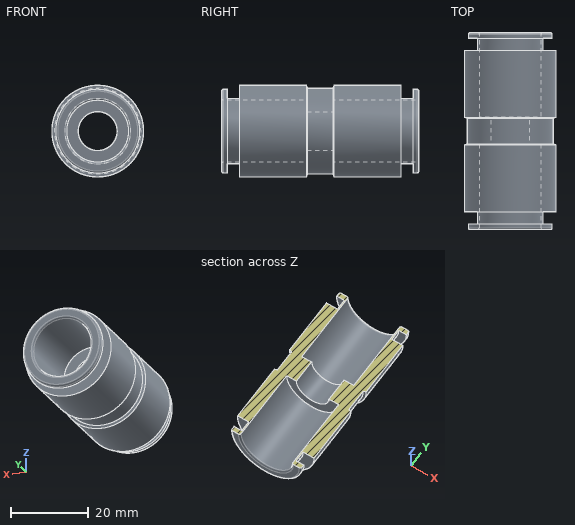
import cadquery as cq

overall_length = 51.0
flange_thickness = 1.5
neck_length = 3.1
waist_length = 6.6
taper_length = 0.28
web_thickness = 7.2

body_diameter = 23.8
waist_diameter = 22.3
flange_diameter = 21.7
neck_diameter = 17.0
socket_diameter = 16.0
passage_diameter = 10.0

rim_fillet = 0.5

half_length = overall_length / 2
flange_back = half_length - flange_thickness
body_end = flange_back - neck_length
waist_end = waist_length / 2
taper_end = waist_end + taper_length

socket_depth = half_length - web_thickness / 2


def make_outer_body():
    """Revolve the full outer profile about the Y axis."""
    half_outline = [
        (waist_diameter / 2, waist_end),
        (body_diameter / 2, taper_end),
        (body_diameter / 2, body_end),
        (neck_diameter / 2, body_end),
        (neck_diameter / 2, flange_back),
        (flange_diameter / 2, flange_back),
        (flange_diameter / 2, half_length),
        (0, half_length),
    ]
    mirrored_outline = [(radius, -y) for radius, y in reversed(half_outline)]
    profile = cq.Workplane("XY").polyline(mirrored_outline + half_outline).close()
    return profile.revolve(360, (0, 0, 0), (0, 1, 0))


def cut_bores(body):
    """Cut a tube socket into each end and the passage through the web."""
    for end_face in ("<Y", ">Y"):
        socket_plane = body.faces(end_face).workplane(centerOption="CenterOfMass")
        body = socket_plane.hole(socket_diameter, socket_depth)
    passage = cq.Workplane("XZ").circle(passage_diameter / 2).extrude(half_length, both=True)
    return body.cut(passage)


def round_rims(body):
    """Round both circular edges of each flange end face."""
    for end_face in ("<Y", ">Y"):
        body = body.faces(end_face).edges().fillet(rim_fillet)
    return body


result = round_rims(cut_bores(make_outer_body()))